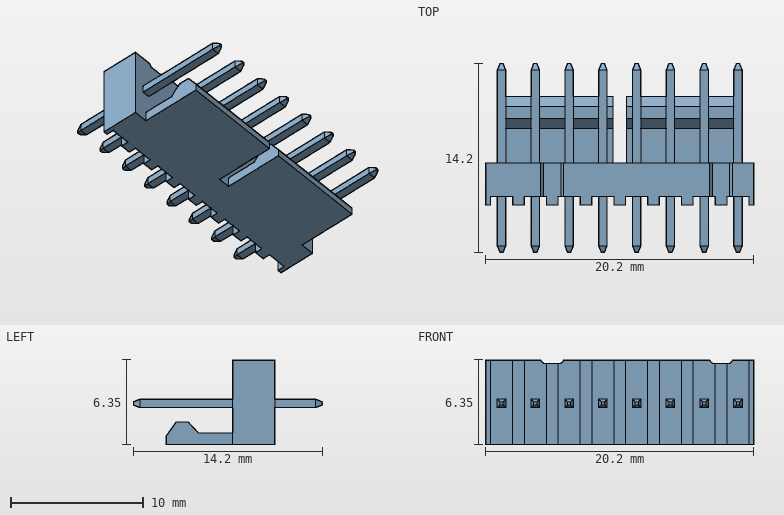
import cadquery as cq


pin_count = 8
pitch = 2.55
pin_size = 0.65
pin_height = 3.1
pin_back_length = 7.48
pin_front_length = 3.57
tip_length = 0.5
tip_size = 0.25

body_length = 20.17
body_height = 6.35
slab_depth = 2.55
rib_depth = 0.63
body_depth = slab_depth + rib_depth
channel_width = 1.65

notch_after_pins = (2, 7)
notch_top_width = 1.73
notch_floor_width = 1.3
notch_depth = 0.25

tab_span = (pin_count - 1) * pitch
tab_gap = 1.0
tab_length = 5.0
tab_thickness = 0.89
tab_end_height = 0.67
hook_height = 1.71
hook_crest_back = 4.25
hook_crest_front = 3.35
hook_foot = 2.58


def pin_x(number):
    """X position of a pin, numbered from 1 at the -X end."""
    return (number - (pin_count + 1) / 2) * pitch


def make_body():
    """Slab with a vertical channel around each pin on its front face."""
    body = cq.Workplane("XY").box(body_length, body_depth, body_height, centered=(True, False, False))
    body = body.translate((0, -body_depth, 0))
    channel = cq.Workplane("XY").box(channel_width, rib_depth, body_height, centered=(True, False, False))
    for number in range(1, pin_count + 1):
        body = body.cut(channel.translate((pin_x(number), -body_depth, 0)))
    for number in notch_after_pins:
        body = body.cut(make_notch(pin_x(number) + pitch / 2))
    return body


def make_notch(center_x):
    """Trapezoidal cutter running through the top edge from back to front."""
    floor_z = body_height - notch_depth
    return (
        cq.Workplane("XZ")
        .polyline([
            (center_x - notch_top_width / 2, body_height),
            (center_x - notch_floor_width / 2, floor_z),
            (center_x + notch_floor_width / 2, floor_z),
            (center_x + notch_top_width / 2, body_height),
        ])
        .close()
        .extrude(body_depth)
    )


def make_tabs():
    """Hooked locking strip along the back, split by a gap at mid-length."""
    strip = (
        cq.Workplane("YZ")
        .polyline([
            (0, 0),
            (tab_length, 0),
            (tab_length, tab_end_height),
            (hook_crest_back, hook_height),
            (hook_crest_front, hook_height),
            (hook_foot, tab_thickness),
            (0, tab_thickness),
        ])
        .close()
        .extrude(tab_span / 2, both=True)
    )
    gap = cq.Workplane("XY").box(tab_gap, tab_length, hook_height, centered=(True, False, False))
    return strip.cut(gap)


def make_tip(base_y, outward):
    """Tapered pin end; outward is +1 toward the back and -1 toward the front."""
    base = cq.Workplane("XZ", origin=(0, base_y, pin_height)).rect(pin_size, pin_size)
    return base.workplane(offset=-outward * tip_length).rect(tip_size, tip_size).loft(combine=True)


def make_pin():
    """Square pin at X = 0 with a tapered tip at each end."""
    shank_back = pin_back_length - tip_length
    shank_front = -body_depth - pin_front_length + tip_length
    shank = (
        cq.Workplane("XZ", origin=(0, shank_back, pin_height))
        .rect(pin_size, pin_size)
        .extrude(shank_back - shank_front)
    )
    return shank.union(make_tip(shank_back, 1)).union(make_tip(shank_front, -1))


result = make_body().union(make_tabs())
pin = make_pin()
for number in range(1, pin_count + 1):
    result = result.union(pin.translate((pin_x(number), 0, 0)))